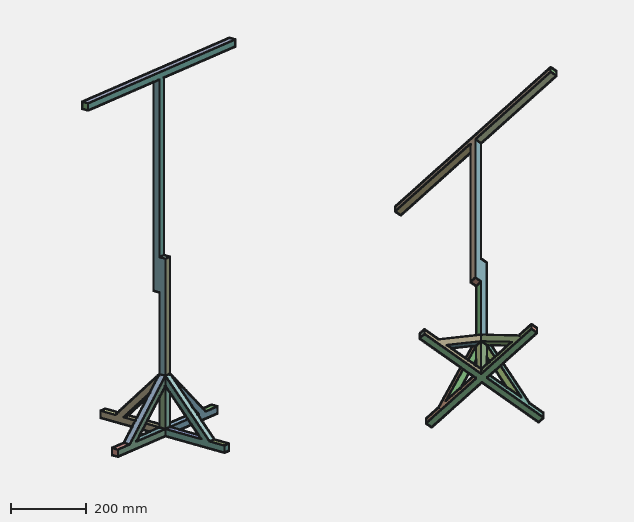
import cadquery as cq
import math

total_height = 1020.0
bar = 20.0
foot_reach = 200.0
crossbar_reach = 300.0
lower_post_top = 500.0
post_overlap = 100.0
brace_leg = 150.0

foot_length = 2 * foot_reach + bar
crossbar_length = 2 * crossbar_reach + bar
upper_post_bottom = lower_post_top - post_overlap
brace_inner_leg = brace_leg - bar * math.sqrt(2)
upper_x = -bar


def box_on(x_size, y_size, bottom, top, x_center=0):
    """Upright box centred on Y = 0 between two heights."""
    return (
        cq.Workplane("XY", origin=(x_center, 0, bottom))
        .rect(x_size, y_size)
        .extrude(top - bottom)
    )


def brace(angle):
    """Diagonal brace from a foot to the post, turned about the post axis."""
    face = bar / 2
    foot_top = bar
    outline = [
        (face, foot_top + brace_inner_leg),
        (face, foot_top + brace_leg),
        (face + brace_leg, foot_top),
        (face + brace_inner_leg, foot_top),
    ]
    profile = cq.Workplane("XZ").polyline(outline).close()
    return profile.extrude(bar / 2, both=True).rotate((0, 0, 0), (0, 0, 1), angle)


result = box_on(foot_length, bar, 0, bar)
result = result.union(box_on(bar, foot_length, 0, bar))
result = result.union(box_on(bar, bar, 0, lower_post_top))

for angle in (0, 90, 180, 270):
    result = result.union(brace(angle))

crossbar_bottom = total_height - bar
result = result.union(box_on(bar, bar, upper_post_bottom, crossbar_bottom, upper_x))
result = result.union(box_on(bar, crossbar_length, crossbar_bottom, total_height, upper_x))